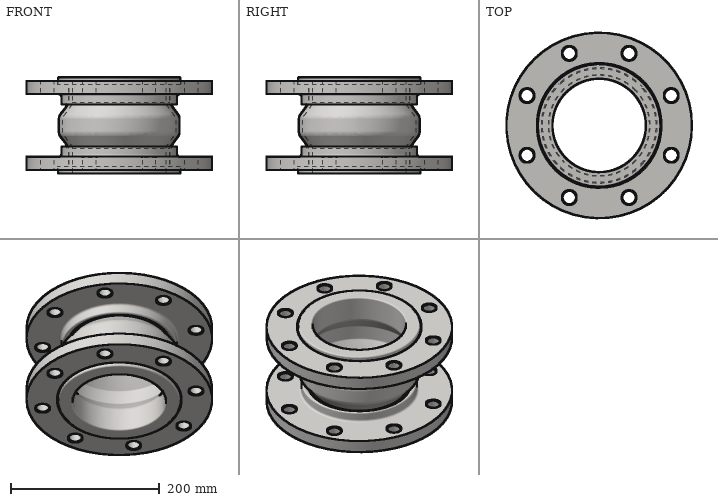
import cadquery as cq
import math

flange_diameter = 250.0
overall_height = 130.0

flange_thickness = 18.0
face_height = 5.0
hub_height = 14.0
hub_diameter = 156.0
hub_root_radius = 3.0
hub_rim_radius = 2.0
hub_bore_diameter = 137.0
hub_mouth_radius = 7.0
recess_diameter = 166.0
recess_depth = 5.0
recess_chamfer = 1.0

bolt_count = 8
bolt_circle_diameter = 210.0
bolt_hole_diameter = 18.0
bolt_hole_chamfer = 1.0

bore_diameter = 125.5
wall = 5.0
face_diameter = 165.0
face_edge_radius = 2.0
arch_diameter = 163.0
arch_slope = 36.0
arch_inner_half_height = 10.2
arch_outer_radius = 9.5
arch_inner_radius = 2.5
throat_inner_radius = 6.0

face_top = overall_height / 2
flange_top = face_top - face_height
flange_bottom = flange_top - flange_thickness
hub_end = flange_bottom - hub_height
face_bottom = flange_top - recess_depth

flange_radius = flange_diameter / 2
hub_radius = hub_diameter / 2
hub_bore_radius = hub_bore_diameter / 2
recess_radius = recess_diameter / 2
face_radius = face_diameter / 2
bore_radius = bore_diameter / 2
neck_radius = bore_radius + wall
arch_radius = arch_diameter / 2
arch_inner_wall_radius = arch_radius - wall

flank_rise = (arch_inner_wall_radius - bore_radius) / math.tan(math.radians(arch_slope))
corner_shift = wall * math.tan(math.radians(arch_slope / 2))
arch_outer_half_height = arch_inner_half_height + corner_shift
throat_inner_height = arch_inner_half_height + flank_rise
throat_outer_height = throat_inner_height + corner_shift


def ring_edges(body, radius, height):
    """Circular edges of a body around the Z axis with this radius at this height."""
    tolerance = 0.02

    def matches(edge):
        return (
            abs(edge.Center().z - height) < tolerance
            and abs(edge.radius() - radius) < tolerance
        )

    return body.edges("%CIRCLE").filter(matches)


def revolve_outline(points):
    """Solid of revolution about Z from (radius, height) points."""
    return cq.Workplane("XZ").polyline(points).close().revolve(360, (0, 0), (0, 1))


def make_flange():
    """Upper flange: plate, hub below it, face recess on top and bolt holes."""
    flange = revolve_outline([
        (recess_radius, flange_top),
        (flange_radius, flange_top),
        (flange_radius, flange_bottom),
        (hub_radius, flange_bottom),
        (hub_radius, hub_end),
        (hub_bore_radius, hub_end),
        (hub_bore_radius, face_bottom),
        (recess_radius, face_bottom),
    ])
    flange = ring_edges(flange, hub_radius, flange_bottom).fillet(hub_root_radius)
    flange = ring_edges(flange, hub_radius, hub_end).fillet(hub_rim_radius)
    flange = ring_edges(flange, hub_bore_radius, hub_end).fillet(hub_mouth_radius)
    flange = ring_edges(flange, recess_radius, flange_top).chamfer(recess_chamfer)
    return flange.cut(make_bolt_holes())


def make_bolt_holes():
    """Cutters for the bolt holes, chamfered at both faces of the flange plate."""
    hole_radius = bolt_hole_diameter / 2
    rim_radius = hole_radius + bolt_hole_chamfer
    cutter = revolve_outline([
        (0, flange_bottom),
        (rim_radius, flange_bottom),
        (hole_radius, flange_bottom + bolt_hole_chamfer),
        (hole_radius, flange_top - bolt_hole_chamfer),
        (rim_radius, flange_top),
        (0, flange_top),
    ]).val()
    half_pitch = 360 / bolt_count / 2
    return (
        cq.Workplane("XY")
        .polarArray(bolt_circle_diameter / 2, half_pitch, 360, bolt_count)
        .eachpoint(lambda location: cutter.moved(location), combine=False, useLocalCoordinates=False)
    )


def make_bellows():
    """Rubber bellows: arched tube with a sealing face at each end."""
    upper_outside = [
        (face_radius, face_top),
        (face_radius, face_bottom),
        (neck_radius, face_bottom),
        (neck_radius, throat_outer_height),
        (arch_radius, arch_outer_half_height),
    ]
    upper_inside = [
        (arch_inner_wall_radius, arch_inner_half_height),
        (bore_radius, throat_inner_height),
        (bore_radius, face_top),
    ]

    def mirrored(points):
        return [(radius, -height) for radius, height in reversed(points)]

    bellows = revolve_outline(
        upper_outside + mirrored(upper_outside) + mirrored(upper_inside) + upper_inside
    )
    for side in (1, -1):
        for radius, height, rounding in (
            (face_radius, face_top, face_edge_radius),
            (bore_radius, face_top, face_edge_radius),
            (arch_radius, arch_outer_half_height, arch_outer_radius),
            (arch_inner_wall_radius, arch_inner_half_height, arch_inner_radius),
            (bore_radius, throat_inner_height, throat_inner_radius),
        ):
            bellows = ring_edges(bellows, radius, side * height).fillet(rounding)
    return bellows


bellows = make_bellows()

flanges = []
for turn in (0, 180):
    flanges.append(make_flange().rotate((0, 0, 0), (1, 0, 0), turn))

result = cq.Compound.makeCompound([bellows.val(), *[flange.val() for flange in flanges]])